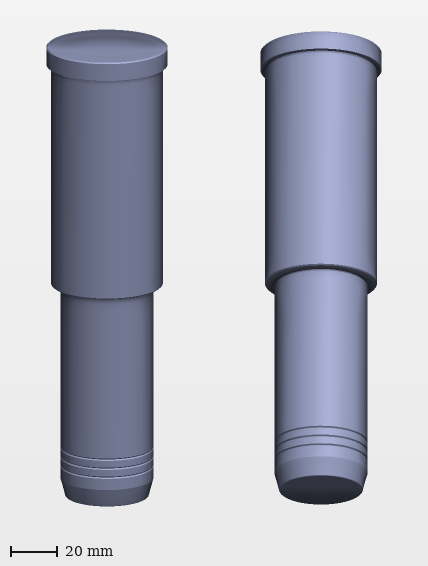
import cadquery as cq
import math

total_length = 200.0

head_radius = 26.0
head_height = 8.0
head_chamfer = 0.5

shank_radius = 24.0
shank_end_depth = 106.0
shank_chamfer = 0.5
head_undercut_depth = 0.5
head_undercut_width = 1.0

guide_radius = 20.0
neck_radius = 19.0
neck_width = 1.0

groove_count = 3
groove_width = 1.0
groove_depth = 0.5
groove_pitch = 4.0
lowest_groove_bottom = 13.0

lead_in_height = 8.0
lead_in_angle = 15.0
end_fillet = 0.5

head_bottom = total_length - head_height
shank_bottom = total_length - shank_end_depth


def cylinder(radius, bottom, top):
    """Solid cylinder on the Z axis between two levels."""
    return cq.Workplane("XY").workplane(offset=bottom).circle(radius).extrude(top - bottom)


def ring(inner_radius, outer_radius, bottom, width):
    """Ring on the Z axis, used as a cutter for an outside groove."""
    outer = cylinder(outer_radius, bottom, bottom + width)
    return outer.cut(cylinder(inner_radius, bottom, bottom + width))


def make_head():
    """Head with a chamfered top rim."""
    head = cylinder(head_radius, head_bottom, total_length)
    return head.faces(">Z").edges().chamfer(head_chamfer)


def make_shank():
    """Shank with a chamfered lower edge and an undercut next to the head."""
    shank = cylinder(shank_radius, shank_bottom, head_bottom)
    shank = shank.faces("<Z").edges().chamfer(shank_chamfer)
    undercut = ring(
        shank_radius - head_undercut_depth,
        shank_radius,
        head_bottom - head_undercut_width,
        head_undercut_width,
    )
    return shank.cut(undercut)


def make_guide():
    """Guide cylinder with a conical lead-in and a rounded lower edge."""
    lead_in_slope = math.tan(math.radians(lead_in_angle))
    lead_in_end_radius = guide_radius - lead_in_height * lead_in_slope
    guide = (
        cq.Workplane("XZ")
        .lineTo(lead_in_end_radius, 0)
        .lineTo(guide_radius, lead_in_height)
        .lineTo(guide_radius, shank_bottom)
        .lineTo(0, shank_bottom)
        .close()
        .revolve(360, (0, 0, 0), (0, 1, 0))
    )
    return guide.faces("<Z").edges().fillet(end_fillet)


def make_v_ring(bottom):
    """Cutter for one V-shaped ring groove."""
    return (
        cq.Workplane("XZ")
        .moveTo(guide_radius, bottom)
        .lineTo(guide_radius - groove_depth, bottom + groove_width / 2)
        .lineTo(guide_radius, bottom + groove_width)
        .close()
        .revolve(360, (0, 0, 0), (0, 1, 0))
    )


def cut_grooves(guide):
    """Cut the relief neck and the ring grooves into the guide section."""
    guide = guide.cut(ring(neck_radius, guide_radius, shank_bottom - neck_width, neck_width))
    for index in range(groove_count):
        guide = guide.cut(make_v_ring(lowest_groove_bottom + index * groove_pitch))
    return guide


result = make_head().union(make_shank()).union(cut_grooves(make_guide()))